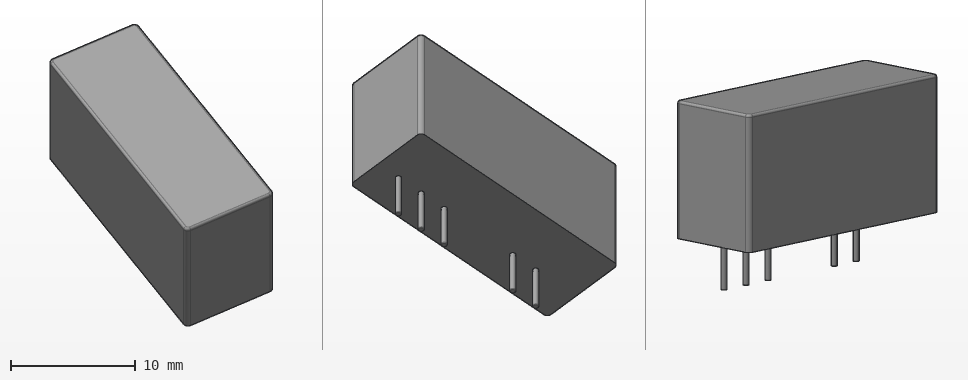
import cadquery as cq

case_length = 21.87
case_width = 8.2
total_height = 15.4
pin_length = 4.1
case_height = total_height - pin_length
corner_radius = 0.42
top_edge_radius = 0.22

pin_diameter = 0.5
pin_tip_radius = 0.07
pin_pitch = 2.54
first_pin_x = -8.65
pin_row_y = 0.9
pin_slots = (0, 1, 2, 5, 6)


def make_case():
    """Block standing on Z = 0 with rounded upright corners and top rim."""
    block = cq.Workplane("XY").box(case_length, case_width, case_height, centered=(True, True, False))
    return block.edges("|Z").fillet(corner_radius).faces(">Z").edges().fillet(top_edge_radius)


def make_pin(x):
    """Round pin hanging from the case underside, with a softened tip."""
    pin = cq.Workplane("XY").center(x, pin_row_y).circle(pin_diameter / 2).extrude(-pin_length)
    return pin.faces("<Z").edges().fillet(pin_tip_radius)


result = make_case()
for slot in pin_slots:
    result = result.union(make_pin(first_pin_x + slot * pin_pitch))